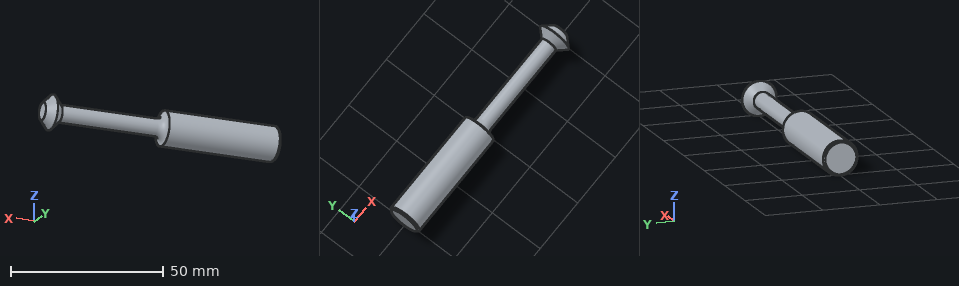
import cadquery as cq

total_length = 83.0
shank_diameter = 12.0
shank_length = 40.0
shank_chamfer = 0.6

neck_diameter = 6.0
neck_fillet = 2.65

head_diameter = 12.0
head_length = 6.0
tip_diameter = 6.0

shank_radius = shank_diameter / 2
neck_radius = neck_diameter / 2
head_radius = head_diameter / 2
tip_radius = tip_diameter / 2

back_x = -total_length / 2
tip_x = total_length / 2
shoulder_x = back_x + shank_length
head_x = tip_x - head_length
edge_x = tip_x - head_length / 2

profile = (
    cq.Workplane("XY")
    .moveTo(back_x, 0)
    .lineTo(back_x, shank_radius - shank_chamfer)
    .lineTo(back_x + shank_chamfer, shank_radius)
    .lineTo(shoulder_x, shank_radius)
    .lineTo(shoulder_x, neck_radius + neck_fillet)
    .radiusArc((shoulder_x + neck_fillet, neck_radius), -neck_fillet)
    .lineTo(head_x, neck_radius)
    .lineTo(edge_x, head_radius)
    .lineTo(tip_x, tip_radius)
    .lineTo(tip_x, 0)
    .close()
)

result = profile.revolve(360, (0, 0, 0), (1, 0, 0))